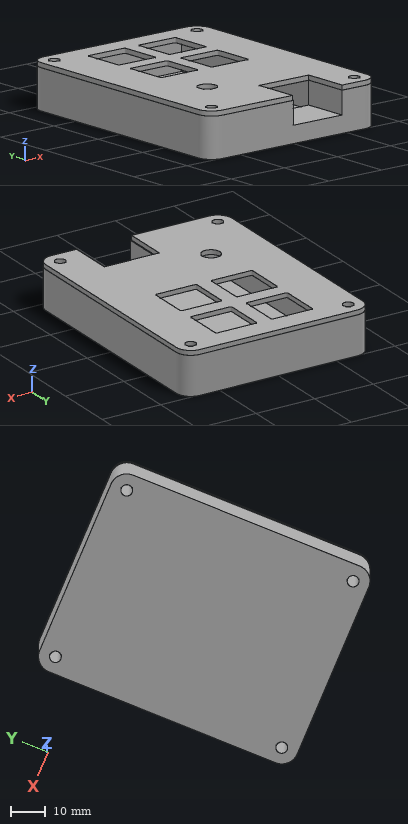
import cadquery as cq

CASE_WIDTH = 63.7
CASE_LENGTH = 80.7
CASE_HEIGHT = 14.5
LID_THICKNESS = 1.5
HOUSING_HEIGHT = CASE_HEIGHT - LID_THICKNESS
HOUSING_CORNER_RADIUS = 4.9
LID_CORNER_RADIUS = 5.0
FRONT_Y = -CASE_LENGTH / 2

SCREW_HOLE_DIAMETER = 3.4
SCREW_EDGE_DISTANCE = 4.9
SCREW_SPACING_X = CASE_WIDTH - 2 * SCREW_EDGE_DISTANCE
SCREW_SPACING_Y = CASE_LENGTH - 2 * SCREW_EDGE_DISTANCE

FLOOR_THICKNESS = 3.0
CAVITY_WIDTH = 42.9
CAVITY_FRONT_Y = -25.25
CAVITY_BACK_Y = 35.8

OPENING_RIGHT_X = 18.2
HOUSING_OPENING_WIDTH = 18.4
LID_OPENING_WIDTH = 18.7
OPENING_FLOOR_Z = 5.6

KEY_WINDOW_SIZE = 14.05
KEY_WINDOW_RADIUS = 0.5
KEY_PITCH = 19.05
KEY_GRID_X = 0.1
KEY_GRID_Y = 16.3

BUTTON_HOLE_DIAMETER = 6.0
BUTTON_X = -12.8
BUTTON_Y = -16.7


def box_between(x_min, x_max, y_min, y_max, z_min, z_max):
    """Box given by its limits along each axis."""
    size = (x_max - x_min, y_max - y_min, z_max - z_min)
    return cq.Workplane("XY").box(*size, centered=False).translate((x_min, y_min, z_min))


def rounded_plate(thickness, corner_radius, base_z):
    """Case outline extruded upward, with rounded vertical edges."""
    plate = cq.Workplane("XY").workplane(offset=base_z).rect(CASE_WIDTH, CASE_LENGTH).extrude(thickness)
    return plate.edges("|Z").fillet(corner_radius)


def screw_holes():
    """Four cylinders that pass through the full case height."""
    corners = cq.Workplane("XY").rect(SCREW_SPACING_X, SCREW_SPACING_Y, forConstruction=True).vertices()
    return corners.circle(SCREW_HOLE_DIAMETER / 2).extrude(CASE_HEIGHT)


def connector_opening(width):
    """Open-topped slot from the front face back to the cavity."""
    left_x = OPENING_RIGHT_X - width
    return box_between(left_x, OPENING_RIGHT_X, FRONT_Y, CAVITY_FRONT_Y, OPENING_FLOOR_Z, CASE_HEIGHT)


def key_windows():
    """Two by two grid of rounded square cutters."""
    grid = cq.Workplane("XY").center(KEY_GRID_X, KEY_GRID_Y).rarray(KEY_PITCH, KEY_PITCH, 2, 2)
    windows = grid.rect(KEY_WINDOW_SIZE, KEY_WINDOW_SIZE).extrude(CASE_HEIGHT)
    return windows.edges("|Z").fillet(KEY_WINDOW_RADIUS)


def button_hole():
    """Cylinder for the round button."""
    return cq.Workplane("XY").center(BUTTON_X, BUTTON_Y).circle(BUTTON_HOLE_DIAMETER / 2).extrude(CASE_HEIGHT)


def make_housing():
    """Open tray with a cavity, a connector opening and screw holes."""
    cavity = box_between(
        -CAVITY_WIDTH / 2, CAVITY_WIDTH / 2, CAVITY_FRONT_Y, CAVITY_BACK_Y, FLOOR_THICKNESS, HOUSING_HEIGHT
    )
    body = rounded_plate(HOUSING_HEIGHT, HOUSING_CORNER_RADIUS, 0)
    return body.cut(cavity).cut(connector_opening(HOUSING_OPENING_WIDTH)).cut(screw_holes())


def make_lid():
    """Flat plate resting on the housing, with key, button and connector cutouts."""
    body = rounded_plate(LID_THICKNESS, LID_CORNER_RADIUS, HOUSING_HEIGHT)
    body = body.cut(key_windows()).cut(button_hole())
    return body.cut(connector_opening(LID_OPENING_WIDTH)).cut(screw_holes())


housing = make_housing()
lid = make_lid()

result = cq.Compound.makeCompound([housing.val(), lid.val()])